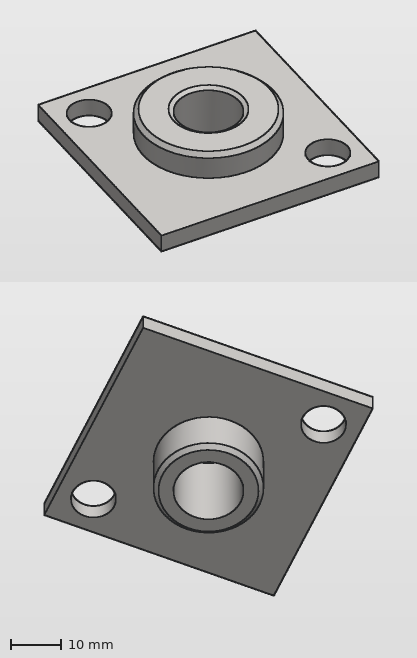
import cadquery as cq
import math

plate_side = 50.0
plate_thickness = 4.0
mount_hole_diameter = 9.0
mount_hole_offset = 17.5

flange_diameter = 30.0
flange_height = 6.0
sleeve_diameter = 22.0
sleeve_projection = 10.0
bore_diameter = 14.0
chamfer_size = 1.0
bore_chamfer_width = 1.0
bore_chamfer_angle = 30.0


def make_plate():
    """Square plate with a central seat and two diagonally opposite mounting holes."""
    hole_centres = [
        (mount_hole_offset, mount_hole_offset),
        (-mount_hole_offset, -mount_hole_offset),
    ]
    return (
        cq.Workplane("XY")
        .rect(plate_side, plate_side)
        .extrude(plate_thickness)
        .faces(">Z")
        .workplane()
        .hole(sleeve_diameter)
        .faces(">Z")
        .workplane(origin=(0, 0, 0))
        .pushPoints(hole_centres)
        .hole(mount_hole_diameter)
    )


def make_bushing():
    """Sleeve through the plate, with a flange on top and a chamfered bore."""
    sleeve = (
        cq.Workplane("XY")
        .workplane(offset=-sleeve_projection)
        .circle(sleeve_diameter / 2)
        .extrude(sleeve_projection + plate_thickness)
        .faces("<Z")
        .chamfer(chamfer_size)
    )
    flange = (
        cq.Workplane("XY")
        .workplane(offset=plate_thickness)
        .circle(flange_diameter / 2)
        .extrude(flange_height)
        .faces(">Z")
        .chamfer(chamfer_size)
    )
    bored = sleeve.union(flange).faces(">Z").workplane().hole(bore_diameter)
    lead_in_depth = bore_chamfer_width * math.tan(math.radians(bore_chamfer_angle))
    flange_top = plate_thickness + flange_height
    bore_radius = bore_diameter / 2
    lead_in = cq.Solid.makeCone(
        bore_radius,
        bore_radius + bore_chamfer_width,
        lead_in_depth,
        pnt=cq.Vector(0, 0, flange_top - lead_in_depth),
    )
    return bored.cut(cq.Workplane(lead_in))


plate = make_plate()
bushing = make_bushing()

result = cq.Compound.makeCompound([plate.val(), bushing.val()])